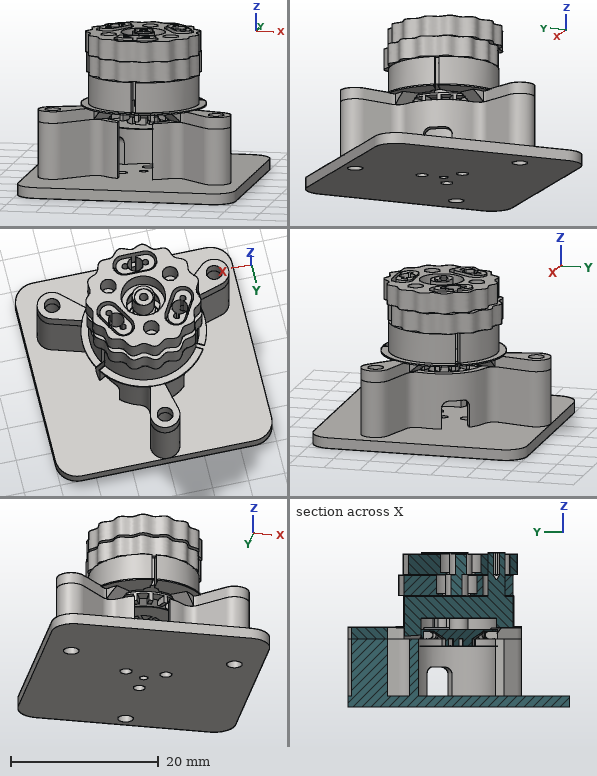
import cadquery as cq
import math

REPEATS = 3
EAR_ANGLES = [90 + 360 / REPEATS * i for i in range(REPEATS)]
LUG_ANGLES = [30 + 360 / REPEATS * i for i in range(REPEATS)]
ECCENTRICITY = 0.3
TOLERANCE = 0.003
WIRE_HOLE_DIAMETER = 1.1

PLATE_TOP = 1.5
HOUSING_TOP = 9.2
EAR_TOP = 10.8
FLANGE_BOTTOM = 10.7
FLANGE_TOP = 10.9
DRUM_TOP = 15.0
DISC_THICKNESS = 2.8
DISC_GAP = 0.05
LOWER_DISC_BOTTOM = DRUM_TOP + DISC_GAP
UPPER_DISC_BOTTOM = LOWER_DISC_BOTTOM + DISC_THICKNESS + DISC_GAP
OVERALL_HEIGHT = 20.9

PLATE_SIDE = 30.0
PLATE_CORNER_RADIUS = 3.0
HOUSING_DIAMETER = 13.2
HOUSING_BORE_DIAMETER = 11.1
FLANK_FILLET = 1.5
FRONT_OPENING_WIDTH = 4.85
WINDOW_ANGLES = [30, 150]
WINDOW_WIDTH = 3.9
WINDOW_TOP = 5.4
WINDOW_CORNER_RADIUS = 1.0
MOUNT_HOLE_DIAMETER = 1.6
MOUNT_HOLE_RADIUS = 3.18

EAR_DIAMETER = 4.02
EAR_HOLE_DIAMETER = 2.1
EAR_DISTANCE = (PLATE_SIDE - EAR_DIAMETER) / 2
EAR_ROOT_DISTANCE = 6.0
EAR_ROOT_HALF_WIDTH = 0.45

CARRIER_BORE_DIAMETER = 10.5
DRUM_DIAMETER = 15.0
FLANGE_DIAMETER = 17.0
CAVITY_TOP = 12.0
RIB_DRUM_HALF_WIDTH = 0.9
RIB_BORE_HALF_WIDTH = 0.65
RIB_FLARE = 1.75
RIB_INNER_OVERLAP = 0.9
NOTCH_WIDTH = 0.6
LUG_DISTANCE = 5.1
LUG_LENGTH = 5.35
LUG_WIDTH = 2.35
LUG_HOLE_DIAMETER = 2.1
PILOT_HOLE_DIAMETER = 0.8
PILOT_HOLE_SPACING = 2.82
PILOT_HOLE_DEPTH = 3.0
PILOT_TIP_HEIGHT = 0.9
PIN_HOLE_DISTANCE = 4.95
PIN_HOLE_DIAMETER = 1.1
PIN_HOLE_DEPTH = 1.8

LOBE_COUNT = 15
POINTS_PER_LOBE = 16
LOBE_MEAN_RADIUS = 7.53
DISC_SLOT_LENGTH = 6.0
DISC_SLOT_WIDTH = 3.0
DISC_HOLE_DIAMETER = 2.1
BEARING_DIAMETER = 6.0
BEARING_LIP_DIAMETER = 4.5
BEARING_LIP_THICKNESS = 0.3

CAM_DIAMETER = 3.0
CAM_TOP = 20.7
JOURNAL_DIAMETER = 2.52

MOTOR_DIAMETER = 10.45
MOTOR_BOTTOM = 8.2
MOTOR_TOP = 10.5
MOTOR_BASE_THICKNESS = 0.1
MOTOR_HUB_DIAMETER = 4.5
MOTOR_HUB_SLOTS = 7
FIRST_HUB_SLOT_ANGLE = 90
MOTOR_HUB_SLOT_WIDTH = 0.48
MOTOR_CONE_TOP_DIAMETER = 7.2
MOTOR_CAP_THICKNESS = 0.27
FIN_COUNT = 15
FIRST_FIN_ANGLE = 270
FIN_THICKNESS = 0.55
FIN_INNER_RADIUS = 3.6


def cylinder(diameter, bottom, top, x=0.0, y=0.0):
    """Vertical cylinder between two heights."""
    return cq.Workplane("XY", origin=(x, y, bottom)).circle(diameter / 2).extrude(top - bottom)


def block(x_size, y_min, y_max, bottom, top):
    """Box centred on X, with its other limits given."""
    base = cq.Workplane("XY", origin=(0, (y_min + y_max) / 2, bottom))
    return base.rect(x_size, y_max - y_min).extrude(top - bottom)


def turned_from_y(shape, angle):
    """Turn a shape modelled along +Y to the given angle about Z."""
    return shape.rotate((0, 0, 0), (0, 0, 1), angle - 90)


def polar(distance, angle):
    """Point at a distance and angle from the Z axis."""
    return (distance * math.cos(math.radians(angle)), distance * math.sin(math.radians(angle)))


def ear(angle, bottom, top):
    """Screw ear that tapers from its round end toward the axis."""
    lean = math.atan2(EAR_DIAMETER / 2 - EAR_ROOT_HALF_WIDTH, EAR_DISTANCE - EAR_ROOT_DISTANCE)
    tangent_x = EAR_DIAMETER / 2 * math.cos(lean)
    tangent_y = EAR_DISTANCE - EAR_DIAMETER / 2 * math.sin(lean)
    outline = (
        cq.Workplane("XY", origin=(0, 0, bottom))
        .moveTo(-EAR_ROOT_HALF_WIDTH, EAR_ROOT_DISTANCE)
        .lineTo(EAR_ROOT_HALF_WIDTH, EAR_ROOT_DISTANCE)
        .lineTo(tangent_x, tangent_y)
        .threePointArc((0, EAR_DISTANCE + EAR_DIAMETER / 2), (-tangent_x, tangent_y))
        .close()
    )
    return turned_from_y(outline.extrude(top - bottom), angle)


def ear_hole(angle, bottom, top):
    x, y = polar(EAR_DISTANCE, angle)
    return cylinder(EAR_HOLE_DIAMETER, bottom, top, x, y)


def footprint(bottom, top):
    """Round body with three ears blended into it, shared by the base and the carrier."""
    body = cylinder(HOUSING_DIAMETER, bottom, top)
    seam = body.edges("|Z").val().Center()
    for angle in EAR_ANGLES:
        body = body.union(ear(angle, bottom, top))
    corners = []
    for edge in body.edges("|Z").vals():
        centre = edge.Center()
        on_wall = abs(math.hypot(centre.x, centre.y) - HOUSING_DIAMETER / 2) < TOLERANCE
        if on_wall and (centre - seam).Length > TOLERANCE:
            corners.append(edge)
    return body.newObject(corners).fillet(FLANK_FILLET)


def make_base():
    """Square plate with the open motor housing and its three ear posts."""
    plate = cq.Workplane("XY").rect(PLATE_SIDE, PLATE_SIDE).extrude(PLATE_TOP)
    plate = plate.edges("|Z").fillet(PLATE_CORNER_RADIUS)

    housing = footprint(PLATE_TOP, HOUSING_TOP)
    housing = housing.cut(cylinder(HOUSING_BORE_DIAMETER, PLATE_TOP, HOUSING_TOP))

    outside = HOUSING_DIAMETER / 2
    housing = housing.cut(block(FRONT_OPENING_WIDTH, -outside, 0, PLATE_TOP, HOUSING_TOP))
    window = block(WINDOW_WIDTH, 0, outside, PLATE_TOP, WINDOW_TOP)
    window = window.edges("|Y and >Z").fillet(WINDOW_CORNER_RADIUS)
    for angle in WINDOW_ANGLES:
        housing = housing.cut(turned_from_y(window, angle))

    base = plate.union(housing)
    for angle in EAR_ANGLES:
        base = base.cut(ear_hole(angle, 0, HOUSING_TOP))
        x, y = polar(MOUNT_HOLE_RADIUS, angle)
        base = base.cut(cylinder(MOUNT_HOLE_DIAMETER, 0, PLATE_TOP, x, y))
    return base.cut(cylinder(WIRE_HOLE_DIAMETER, 0, PLATE_TOP))


def rib_section(plane, drum_half_width, bore_half_width):
    """Trapezium along +Y, from the bore to the drum wall, added to a workplane."""
    return plane.polyline(
        [
            (-drum_half_width, DRUM_DIAMETER / 2),
            (drum_half_width, DRUM_DIAMETER / 2),
            (bore_half_width, CARRIER_BORE_DIAMETER / 2 - RIB_INNER_OVERLAP),
            (-bore_half_width, CARRIER_BORE_DIAMETER / 2 - RIB_INNER_OVERLAP),
        ]
    ).close()


def rib(angle):
    """Rib under the flange at an ear, tapered toward the axis, with sides that flare out upward."""
    foot = cq.Workplane("XY", origin=(0, 0, HOUSING_TOP))
    foot = rib_section(foot, RIB_DRUM_HALF_WIDTH, RIB_BORE_HALF_WIDTH)
    top = foot.workplane(offset=FLANGE_BOTTOM - HOUSING_TOP)
    top = rib_section(top, RIB_DRUM_HALF_WIDTH + RIB_FLARE, RIB_BORE_HALF_WIDTH + RIB_FLARE)
    solid = top.loft(ruled=True)
    solid = solid.intersect(cylinder(DRUM_DIAMETER, HOUSING_TOP, FLANGE_BOTTOM))
    return turned_from_y(solid, angle)


def lug_bar(length, width, bottom, top, angle, centre_y=0.0):
    """Round-ended bar lying across the radius at LUG_DISTANCE."""
    bar = (
        cq.Workplane("XY", origin=(0, LUG_DISTANCE, bottom))
        .slot2D(length, width)
        .extrude(top - bottom)
    )
    return turned_from_y(bar, angle).translate((0, centre_y, 0))


def pilot_hole(side):
    """Blind screw hole with a pointed end, on one side of a lug along +Y."""
    radius = PILOT_HOLE_DIAMETER / 2
    half_section = [
        (0, OVERALL_HEIGHT),
        (radius, OVERALL_HEIGHT),
        (radius, OVERALL_HEIGHT - PILOT_HOLE_DEPTH),
        (0, OVERALL_HEIGHT - PILOT_HOLE_DEPTH - PILOT_TIP_HEIGHT),
    ]
    hole = cq.Workplane("XZ").polyline(half_section).close().revolve(360, (0, 0), (0, 1))
    return hole.translate((side * PILOT_HOLE_SPACING / 2, LUG_DISTANCE, 0))


def make_carrier():
    """Drum with flange, screw ears and the three lugs that pass through the discs."""
    carrier = cylinder(DRUM_DIAMETER, FLANGE_BOTTOM, DRUM_TOP)
    carrier = carrier.union(cylinder(FLANGE_DIAMETER, FLANGE_BOTTOM, FLANGE_TOP))
    ears = footprint(HOUSING_TOP, EAR_TOP).cut(cylinder(DRUM_DIAMETER, HOUSING_TOP, EAR_TOP))
    carrier = carrier.union(ears)
    for angle in EAR_ANGLES:
        carrier = carrier.union(rib(angle))
    carrier = carrier.cut(cylinder(CARRIER_BORE_DIAMETER, HOUSING_TOP, CAVITY_TOP))
    carrier = carrier.cut(cylinder(JOURNAL_DIAMETER, CAVITY_TOP, DRUM_TOP))

    for angle in LUG_ANGLES:
        carrier = carrier.union(lug_bar(LUG_LENGTH, LUG_WIDTH, DRUM_TOP, OVERALL_HEIGHT, angle))
        lug_hole = cylinder(LUG_HOLE_DIAMETER, HOUSING_TOP, OVERALL_HEIGHT, 0, LUG_DISTANCE)
        notch = block(NOTCH_WIDTH, LUG_DISTANCE, FLANGE_DIAMETER / 2, HOUSING_TOP, OVERALL_HEIGHT)
        for cutter in (lug_hole, notch, pilot_hole(-1), pilot_hole(1)):
            carrier = carrier.cut(turned_from_y(cutter, angle))

    for angle in EAR_ANGLES:
        carrier = carrier.cut(ear_hole(angle, HOUSING_TOP, EAR_TOP))
        x, y = polar(PIN_HOLE_DISTANCE, angle)
        carrier = carrier.cut(cylinder(PIN_HOLE_DIAMETER, DRUM_TOP - PIN_HOLE_DEPTH, DRUM_TOP, x, y))
    return carrier


def lobe_point(t):
    """Point on the wavy disc outline for t from 0 to 1, starting on a lobe at +Y."""
    angle = 2 * math.pi * t
    radius = LOBE_MEAN_RADIUS + ECCENTRICITY * math.cos(LOBE_COUNT * angle)
    return (-radius * math.sin(angle), radius * math.cos(angle))


def make_disc(bottom, centre_y):
    """Cycloidal disc with its bearing seat, centred off the axis by centre_y."""
    top = bottom + DISC_THICKNESS
    point_count = LOBE_COUNT * POINTS_PER_LOBE
    outline = [lobe_point(i / point_count) for i in range(point_count)]
    disc = cq.Workplane("XY", origin=(0, centre_y, bottom))
    disc = disc.spline(outline, periodic=True).close().extrude(DISC_THICKNESS)
    disc = disc.cut(cylinder(BEARING_DIAMETER, bottom + BEARING_LIP_THICKNESS, top, 0, centre_y))
    disc = disc.cut(cylinder(BEARING_LIP_DIAMETER, bottom, top, 0, centre_y))
    for angle in LUG_ANGLES:
        disc = disc.cut(lug_bar(DISC_SLOT_LENGTH, DISC_SLOT_WIDTH, bottom, top, angle, centre_y))
    for angle in EAR_ANGLES:
        x, y = polar(PIN_HOLE_DISTANCE, angle)
        disc = disc.cut(cylinder(DISC_HOLE_DIAMETER, bottom, top, x, y + centre_y))
    return disc


def make_shaft():
    """Hollow shaft with one cam for each disc."""
    shaft = cylinder(JOURNAL_DIAMETER, MOTOR_TOP, OVERALL_HEIGHT)
    lower_cam = cylinder(CAM_DIAMETER, LOWER_DISC_BOTTOM, UPPER_DISC_BOTTOM, 0, ECCENTRICITY)
    upper_cam = cylinder(CAM_DIAMETER, UPPER_DISC_BOTTOM, CAM_TOP, 0, -ECCENTRICITY)
    shaft = shaft.union(lower_cam).union(upper_cam)
    return shaft.cut(cylinder(WIRE_HOLE_DIAMETER, MOTOR_TOP, OVERALL_HEIGHT))


def fin_ring():
    """Ring under the motor cap, round on its inside, before it is divided into fins."""
    cap_bottom = MOTOR_TOP - MOTOR_CAP_THICKNESS
    outer_radius = MOTOR_DIAMETER / 2
    round_radius = (cap_bottom - HOUSING_TOP) / 2
    section = (
        cq.Workplane("XZ")
        .moveTo(outer_radius, HOUSING_TOP)
        .lineTo(outer_radius, cap_bottom)
        .lineTo(FIN_INNER_RADIUS + round_radius, cap_bottom)
        .threePointArc(
            (FIN_INNER_RADIUS, cap_bottom - round_radius),
            (FIN_INNER_RADIUS + round_radius, HOUSING_TOP),
        )
        .close()
    )
    return section.revolve(360, (0, 0), (0, 1))


def make_motor():
    """Motor with a thin base, slotted hub, cone, flat cap and fins that hang from the cap."""
    cap_bottom = MOTOR_TOP - MOTOR_CAP_THICKNESS
    hub = cylinder(MOTOR_HUB_DIAMETER, MOTOR_BOTTOM, HOUSING_TOP)
    for i in range(MOTOR_HUB_SLOTS):
        slot = block(MOTOR_HUB_SLOT_WIDTH, 0, MOTOR_HUB_DIAMETER / 2, MOTOR_BOTTOM, HOUSING_TOP)
        hub = hub.cut(turned_from_y(slot, FIRST_HUB_SLOT_ANGLE + 360 / MOTOR_HUB_SLOTS * i))
    motor = hub.union(cylinder(MOTOR_HUB_DIAMETER / 2, MOTOR_BOTTOM, HOUSING_TOP))
    cone = cq.Workplane("XY", origin=(0, 0, HOUSING_TOP)).circle(MOTOR_HUB_DIAMETER / 2)
    cone = cone.workplane(offset=cap_bottom - HOUSING_TOP).circle(MOTOR_CONE_TOP_DIAMETER / 2).loft()
    motor = motor.union(cone)
    motor = motor.union(cylinder(MOTOR_DIAMETER, MOTOR_BOTTOM, MOTOR_BOTTOM + MOTOR_BASE_THICKNESS))
    motor = motor.union(cylinder(MOTOR_DIAMETER, cap_bottom, MOTOR_TOP))

    fin_blank = block(FIN_THICKNESS, 0, MOTOR_DIAMETER / 2, HOUSING_TOP, cap_bottom)
    fin = fin_blank.intersect(fin_ring())
    for i in range(FIN_COUNT):
        motor = motor.union(turned_from_y(fin, FIRST_FIN_ANGLE + 360 / FIN_COUNT * i))
    return motor.cut(cylinder(WIRE_HOLE_DIAMETER, MOTOR_BOTTOM, MOTOR_TOP))


base = make_base()
carrier = make_carrier()
motor = make_motor()
shaft = make_shaft()
discs = [
    make_disc(LOWER_DISC_BOTTOM, ECCENTRICITY),
    make_disc(UPPER_DISC_BOTTOM, -ECCENTRICITY),
]

result = cq.Compound.makeCompound(
    [base.val(), carrier.val(), motor.val(), shaft.val(), *[disc.val() for disc in discs]]
)